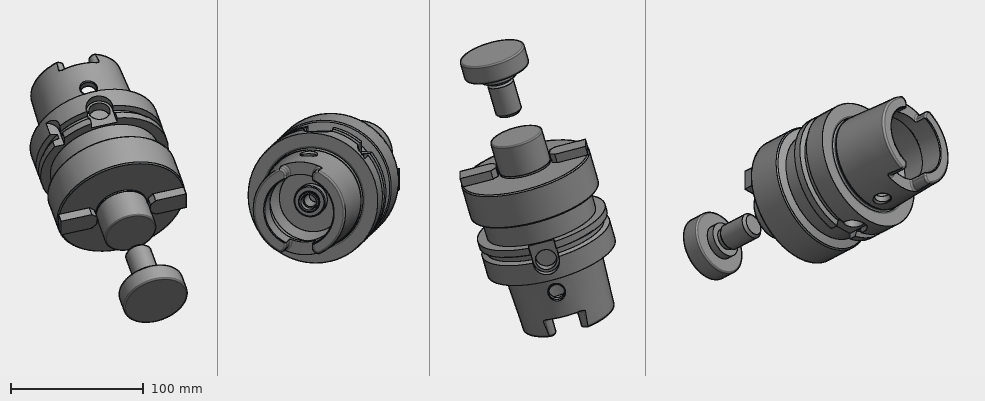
import cadquery as cq
import math


shank_length = 50.0
gauge_radius = 37.5
gauge_distance = 10.0
taper_slope = 1 / 20
taper_end = -3.0
shank_end_round = 1.5
relief_radius = 37.3
relief_edge = 1.2
relief_corner_radius = 1.2
face_groove_radius = 39.6
face_groove_depth = 0.3

flange_radius = 50.0
flange_length = 29.0
groove_center = 20.0
groove_root_radius = 46.0
groove_root_width = 4.0
groove_mouth_width = 6.8

neck_radius = 42.5
neck_end = 45.2
body_cone_end = 47.3
body_start = 48.3
body_end = 75.0
body_chamfer = 1.0
spigot_radius = 20.0
spigot_end = 101.0
spigot_round = 1.0
spigot_relief_radius = 19.8
spigot_relief_length = 1.5

bore_radius = 26.5
bore_mouth_chamfer = 0.7
bore_mouth_length = 19.0
undercut_radius = 31.5
clamp_angle = 60.0
undercut_end = -8.0
bore_floor = -4.0
bore_floor_radius = 25.0

collar_radius = 12.0
collar_top = -12.5
collar_chamfer = 0.8
tube_radius = 8.0
tube_top = -15.3
tube_chamfer = 0.7
tube_bore_radius = 6.0
tube_bore_end = -8.0
channel_radius = 5.0
channel_end = 10.0

drive_slot_width = 20.0
drive_slot_depth_upper = 10.0
drive_slot_depth_lower = 14.6
drive_slot_corner_height = 27.2
drive_slot_corner_radius = 5.0
drive_slot_floor_round = 1.4
tolerance = 0.01

access_hole_radius = 6.0
access_hole_x = -15.0
access_hole_start = 20.0
access_sink_start = 36.0
access_sink_depth = 2.0

cutter_radius = 10.0
cutter_x = 15.0
keyway_floor = 44.0
pocket_radius = 8.0
pocket_depth = 8.0
notch_offset = 31.3

key_width = 16.0
key_height = 7.0
key_inner = 21.0
key_outer = 49.0
key_chamfer = 4.0

screw_tip = 120.0
screw_tip_radius = 8.0
thread_start = 122.3
thread_radius = 10.0
thread_end = 145.0
screw_neck_start = 146.6
screw_neck_radius = 8.4
collar_start = 149.5
screw_collar_radius = 13.5
head_start = 155.5
head_end = 170.0
head_radius = 25.0
head_round = 1.2


def revolve_about_x(points):
    """Revolve a closed (x, radius) outline about the X axis."""
    return cq.Workplane("XY").polyline(points).close().revolve(360, (0, 0, 0), (1, 0, 0))


def taper_radius(x):
    return gauge_radius + (x + gauge_distance) * taper_slope


def outer_form():
    half_root = groove_root_width / 2
    half_mouth = groove_mouth_width / 2
    spigot_start = body_end + spigot_relief_length
    outline = (
        cq.Workplane("XY")
        .moveTo(-shank_length, 0)
        .lineTo(-shank_length, taper_radius(-shank_length))
        .lineTo(taper_end, taper_radius(taper_end))
        .lineTo(taper_end + relief_edge, relief_radius)
        .lineTo(face_groove_depth - relief_corner_radius, relief_radius)
        .radiusArc((face_groove_depth, relief_radius + relief_corner_radius), -relief_corner_radius)
        .lineTo(0, face_groove_radius)
        .lineTo(0, flange_radius)
        .lineTo(groove_center - half_mouth, flange_radius)
        .lineTo(groove_center - half_root, groove_root_radius)
        .lineTo(groove_center + half_root, groove_root_radius)
        .lineTo(groove_center + half_mouth, flange_radius)
        .lineTo(flange_length, flange_radius)
        .lineTo(flange_length, neck_radius)
        .lineTo(neck_end, neck_radius)
        .lineTo(body_cone_end, flange_radius - body_chamfer)
        .lineTo(body_start, flange_radius)
        .lineTo(body_end - body_chamfer, flange_radius)
        .lineTo(body_end, flange_radius - body_chamfer)
        .lineTo(body_end, spigot_relief_radius)
        .lineTo(spigot_start, spigot_relief_radius)
        .lineTo(spigot_start, spigot_radius)
        .lineTo(spigot_end, spigot_radius)
        .lineTo(spigot_end, 0)
        .close()
    )
    form = outline.revolve(360, (0, 0, 0), (1, 0, 0))
    form = form.faces("<X").edges().fillet(shank_end_round)
    return form.faces(">X").edges().fillet(spigot_round)


def bore():
    """Shank bore around the coolant connection, which is left standing."""
    clamp_start = bore_mouth_length - shank_length
    clamp_end = clamp_start + (undercut_radius - bore_radius) / math.tan(math.radians(clamp_angle))
    return revolve_about_x([
        (-shank_length, 0),
        (-shank_length, bore_radius + bore_mouth_chamfer),
        (bore_mouth_chamfer - shank_length, bore_radius),
        (clamp_start, bore_radius),
        (clamp_end, undercut_radius),
        (undercut_end, undercut_radius),
        (bore_floor, bore_floor_radius),
        (bore_floor, collar_radius),
        (collar_top + collar_chamfer, collar_radius),
        (collar_top, collar_radius - collar_chamfer),
        (collar_top, tube_radius),
        (tube_top + tube_chamfer, tube_radius),
        (tube_top, tube_radius - tube_chamfer),
        (tube_top, tube_bore_radius),
        (tube_bore_end, tube_bore_radius),
        (tube_bore_end, channel_radius),
        (channel_end, channel_radius),
        (channel_end, 0),
    ])


def drive_slot(depth):
    """Cutter for the slot at +Z: straight sides that open out through a convex round."""
    half = drive_slot_width / 2
    radius = drive_slot_corner_radius
    low = drive_slot_corner_height
    high = low + radius
    wide = half + 2 * radius
    top = flange_radius
    start = half + radius
    mid = radius * math.sqrt(0.5)
    slot = (
        cq.Workplane("YZ", origin=(-shank_length, 0, 0))
        .moveTo(-half, 0)
        .lineTo(half, 0)
        .lineTo(half, low)
        .threePointArc((start - mid, low + mid), (start, high))
        .lineTo(wide, high)
        .lineTo(wide, top)
        .lineTo(-wide, top)
        .lineTo(-wide, high)
        .lineTo(-start, high)
        .threePointArc((mid - start, low + mid), (-half, low))
        .close()
        .extrude(depth)
        .faces(">X")
        .edges("not (<Z or >Z or <Y or >Y)")
        .fillet(drive_slot_floor_round)
    )
    clearance = (
        cq.Workplane("XY")
        .box(shank_end_round, 2 * wide, top, centered=(False, True, False))
        .translate((-shank_length - shank_end_round, 0, 0))
    )
    mouth_edges = cq.selectors.BoxSelector(
        (-shank_length - tolerance, -wide + tolerance, tolerance),
        (-shank_length + tolerance, wide - tolerance, top - tolerance),
    )
    return slot.union(clearance).edges(mouth_edges).fillet(shank_end_round)


def access_hole():
    """Cutter for the straight part of the access hole at +Z, starting inside the undercut."""
    return (
        cq.Workplane("XY", origin=(access_hole_x, 0, access_hole_start))
        .circle(access_hole_radius)
        .extrude(flange_radius - access_hole_start)
    )


def access_sink():
    """Cutter for the conical mouth of the access hole at +Z."""
    return cq.Workplane(cq.Solid.makeCone(
        access_hole_radius,
        access_hole_radius + access_sink_depth,
        access_sink_depth,
        pnt=cq.Vector(access_hole_x, 0, access_sink_start),
        dir=cq.Vector(0, 0, 1),
    ))


def keyway():
    """Cutter for the keyway at +Z: round inner end, open towards the neck, round pocket in its floor."""
    run = flange_length - cutter_x
    floor = cq.Workplane("XY", origin=(cutter_x, 0, keyway_floor))
    depth = flange_radius - keyway_floor
    round_end = floor.circle(cutter_radius).extrude(depth)
    channel = floor.rect(run, 2 * cutter_radius).extrude(depth).translate((run / 2, 0, 0))
    pocket = floor.circle(pocket_radius).extrude(-pocket_depth)
    return round_end.union(channel).union(pocket)


def orientation_notch():
    """Cutter for the right-angled notch between -Y and +Z, with one round inner end."""
    run = flange_length - cutter_x
    floor = cq.Workplane("XY", origin=(cutter_x, -notch_offset - cutter_radius, notch_offset))
    height = flange_radius - notch_offset
    round_end = floor.circle(cutter_radius).extrude(height)
    channel = floor.rect(run, 2 * cutter_radius).extrude(height).translate((run / 2, 0, 0))
    return round_end.union(channel)


def drive_key():
    """Key at +Y with both inner corners chamfered."""
    length = key_outer - key_inner
    return (
        cq.Workplane("XY")
        .box(key_height, length, key_width, centered=(False, False, True))
        .edges("<Y and |X")
        .chamfer(key_chamfer)
        .translate((body_end, key_inner, 0))
    )


def half_turn(shape):
    return shape.rotate((0, 0, 0), (1, 0, 0), 180)


def make_holder():
    holder = outer_form()
    holder = holder.cut(drive_slot(drive_slot_depth_upper))
    holder = holder.cut(half_turn(drive_slot(drive_slot_depth_lower)))
    holder = holder.cut(bore())
    for cutter in (access_hole(), access_sink(), keyway()):
        holder = holder.cut(cutter).cut(half_turn(cutter))
    holder = holder.cut(orientation_notch())
    key = drive_key()
    return holder.union(key).union(half_turn(key))


def make_screw():
    screw = revolve_about_x([
        (screw_tip, 0),
        (screw_tip, screw_tip_radius),
        (thread_start, thread_radius),
        (thread_end, thread_radius),
        (screw_neck_start, screw_neck_radius),
        (collar_start, screw_neck_radius),
        (collar_start, screw_collar_radius),
        (head_start, screw_collar_radius),
        (head_start, head_radius),
        (head_end, head_radius),
        (head_end, 0),
    ])
    return screw.edges(cq.selectors.RadiusNthSelector(-1)).fillet(head_round)


holder = make_holder()
screw = make_screw()

result = cq.Compound.makeCompound([holder.val(), screw.val()])